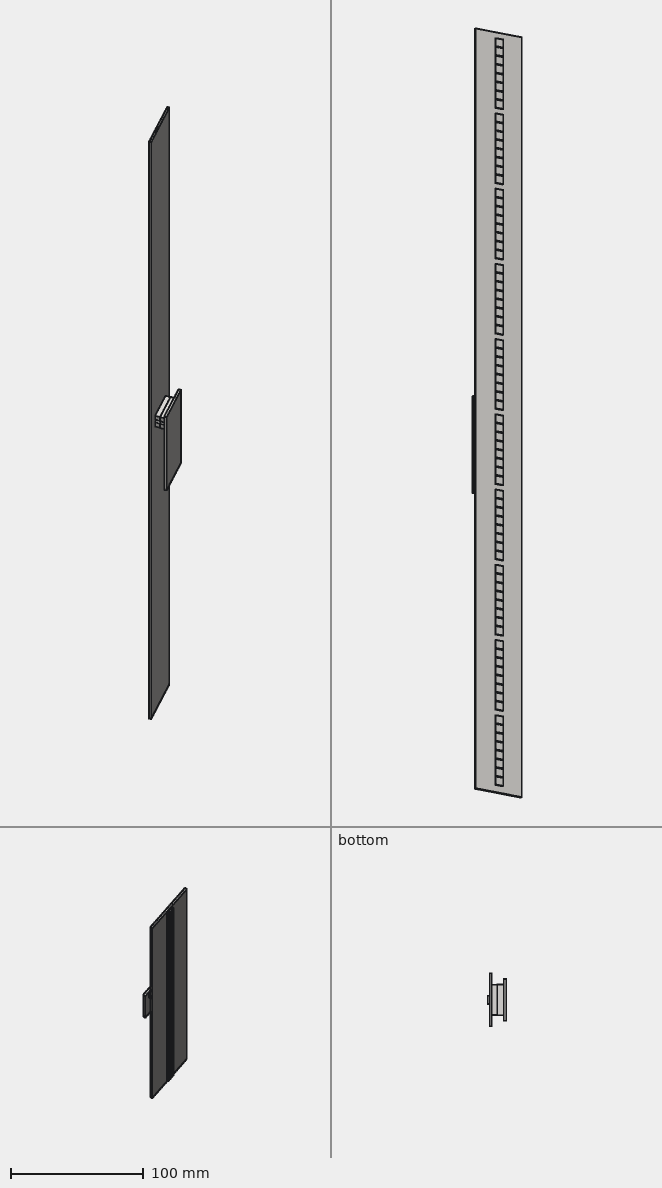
import cadquery as cq

TOTAL_DEPTH = 14.0

STRIP_WIDTH = 40.0
STRIP_LENGTH = 607.0
STRIP_THICKNESS = 1.75

PAD_HEIGHT = 1.35
GROUP_COUNT = 10
PADS_PER_GROUP = 8
GROUP_PITCH = 60.0
GROUP_GAP = 4.7
PAD_GAP = 0.55
GROUP_LENGTH = GROUP_PITCH - GROUP_GAP
PAD_SIZE = (GROUP_LENGTH - (PADS_PER_GROUP - 1) * PAD_GAP) / PADS_PER_GROUP
PAD_PITCH = PAD_SIZE + PAD_GAP
PAD_ROW_SHIFT = 0.2

MOUNT_THICKNESS = 2.0
MOUNT_WIDTH = 31.5
MOUNT_TOP = 14.0
MOUNT_LENGTH = 77.0

BAR_WIDTH = 23.0
BAR_HEIGHT = 4.0
FIRST_BAR_TOP = 8.0
BAR_GAP = 2.75
BAR_TOPS = (FIRST_BAR_TOP, FIRST_BAR_TOP - BAR_HEIGHT - BAR_GAP)
FOOT_DEPTH = 5.0
FOOT_MARGIN = 0.1

PAD_FACE = -TOTAL_DEPTH / 2
STRIP_FRONT = PAD_FACE + PAD_HEIGHT
STRIP_BACK = STRIP_FRONT + STRIP_THICKNESS
MOUNT_BACK = TOTAL_DEPTH / 2
MOUNT_FRONT = MOUNT_BACK - MOUNT_THICKNESS
FOOT_FRONT = MOUNT_FRONT - FOOT_DEPTH


def block(x_start, x_end, width, z_centre, height):
    """Box centred on Y, between two X faces."""
    depth = x_end - x_start
    centre = ((x_start + x_end) / 2, 0, z_centre)
    return cq.Workplane("XY").box(depth, width, height).translate(centre)


def pad_positions():
    """Z centres of all the pads, group by group."""
    centres = []
    for group in range(GROUP_COUNT):
        group_centre = PAD_ROW_SHIFT + (group - (GROUP_COUNT - 1) / 2) * GROUP_PITCH
        for pad in range(PADS_PER_GROUP):
            centres.append(group_centre + (pad - (PADS_PER_GROUP - 1) / 2) * PAD_PITCH)
    return centres


def strip_with_pads():
    strip = block(STRIP_FRONT, STRIP_BACK, STRIP_WIDTH, 0, STRIP_LENGTH)
    pads = (
        cq.Workplane("YZ", origin=(PAD_FACE, 0, 0))
        .pushPoints([(0, z) for z in pad_positions()])
        .rect(PAD_SIZE, PAD_SIZE)
        .extrude(PAD_HEIGHT)
    )
    return strip.union(pads)


def bar(top):
    """Bar from the strip to the mounting plate, with its foot."""
    z_centre = top - BAR_HEIGHT / 2
    stem = block(STRIP_BACK, MOUNT_FRONT, BAR_WIDTH, z_centre, BAR_HEIGHT)
    foot_width = BAR_WIDTH + 2 * FOOT_MARGIN
    foot_height = BAR_HEIGHT + 2 * FOOT_MARGIN
    return stem.union(block(FOOT_FRONT, MOUNT_FRONT, foot_width, z_centre, foot_height))


def mounting_plate():
    return block(MOUNT_FRONT, MOUNT_BACK, MOUNT_WIDTH, MOUNT_TOP - MOUNT_LENGTH / 2, MOUNT_LENGTH)


result = strip_with_pads().union(mounting_plate())
for bar_top in BAR_TOPS:
    result = result.union(bar(bar_top))